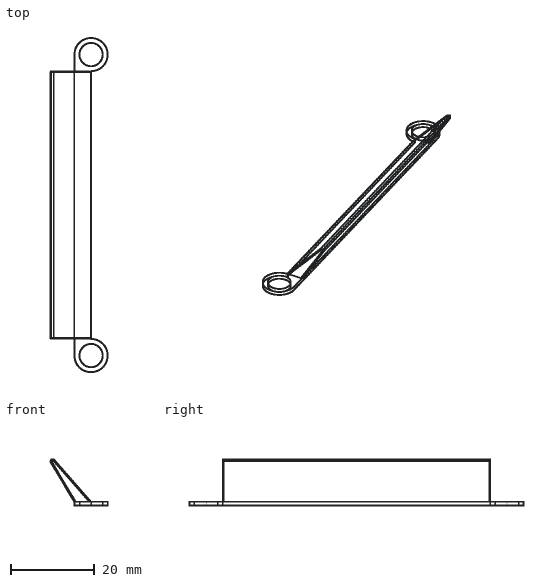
import cadquery as cq

total_length = 80.0
total_height = 11.0
ring_diameter = 8.0
hole_diameter = 5.5
base_thickness = 1.0
blade_overhang = 5.8
tip_width = 0.9
tip_bevel_width = 0.2
tip_bevel_height = 0.5
root_depth = 0.1
edge_chamfer = 0.28

ring_radius = ring_diameter / 2
ring_offset = total_length / 2 - ring_radius
blade_length = total_length - 2 * ring_diameter
blade_root_width = ring_radius
blade_root_height = base_thickness - root_depth


def make_base():
    """Flat strip with a pierced round eye at each end, tangent to its outer edge."""
    base = cq.Workplane("XY").box(
        ring_radius, 2 * ring_offset, base_thickness, centered=(False, True, False)
    )
    eye_centres = [(ring_radius, side * ring_offset) for side in (-1, 1)]
    eyes = cq.Workplane("XY").pushPoints(eye_centres).circle(ring_radius).extrude(base_thickness)
    holes = cq.Workplane("XY").pushPoints(eye_centres).circle(hole_diameter / 2).extrude(base_thickness)
    return base.union(eyes).cut(holes)


def make_blade():
    """Leaning blade, tapering upwards, with a bevelled tip and bevelled end edges."""
    blade = (
        cq.Workplane("XZ")
        .moveTo(0, blade_root_height)
        .lineTo(blade_root_width, blade_root_height)
        .lineTo(tip_width - blade_overhang, total_height)
        .lineTo(tip_bevel_width - blade_overhang, total_height)
        .lineTo(-blade_overhang, total_height - tip_bevel_height)
        .close()
        .extrude(blade_length / 2, both=True)
    )
    end_edges = blade.faces("<Y or >Y").edges()
    sloped_edges = end_edges.filter(lambda edge: edge.Length() > blade_root_width)
    return sloped_edges.chamfer(edge_chamfer)


result = make_base().union(make_blade())